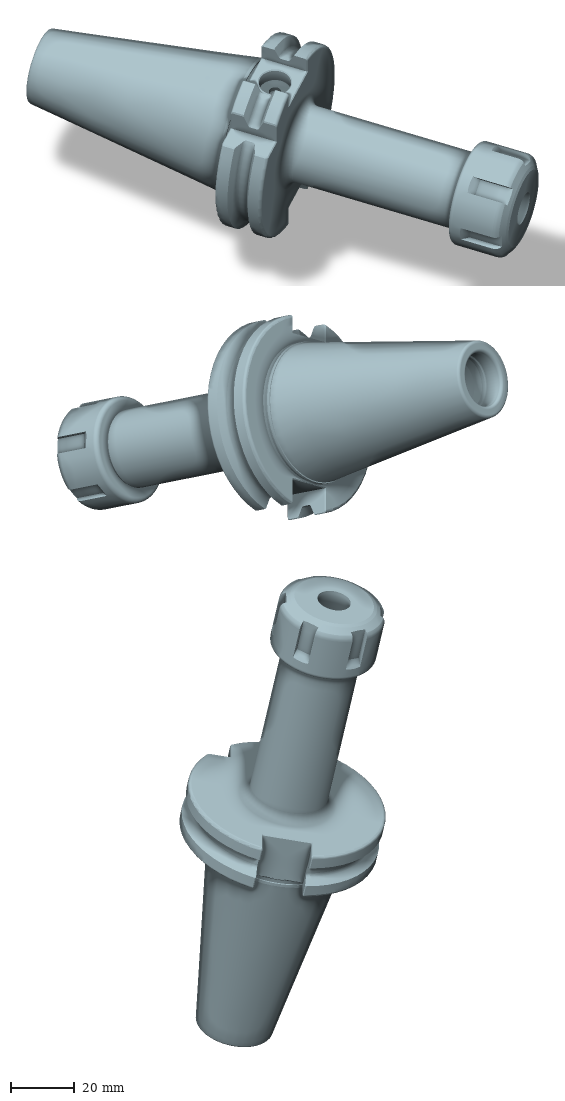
import cadquery as cq
import math


cutter_clearance = 1.6

taper_small_radius = 12.3
taper_large_radius = 22.3
taper_end_x = 69.0
taper_end_fillet = 1.0
collar_radius = 22.6
collar_end_x = 70.0
neck_radius = 22.1
neck_root_chamfer = 0.5

flange_start_x = 71.7
flange_width = 15.7
flange_end_x = flange_start_x + flange_width
flange_mid_x = flange_start_x + flange_width / 2
flange_diameter = 63.3
flange_radius = flange_diameter / 2
flange_rim_fillet = 1.0
groove_floor_radius = 28.1
groove_mouth_width = 6.9
groove_floor_width = 3.3
groove_floor_fillet = 1.0

slot_width = 15.7
top_slot_floor_z = 24.7
bottom_slot_floor_z = -22.6
notch_wall_y = -18.2
notch_floor_z = 18.5
slot_edge_chamfer = 0.3

chip_pocket_radius = 5.0
chip_pocket_depth = 4.6
chip_pocket_chamfer = 0.3
pilot_drill_radius = 2.0
pilot_drill_depth = 1.6
drill_point_angle = 118

shank_diameter = 25.0
shank_radius = shank_diameter / 2
shank_end_x = 143.7
shank_root_fillet = 3.0
nose_radius = 12.0
nose_end_x = 159.7

pilot_bore_radius = 8.7
pilot_entry_round = 1.0
pilot_bore_end_x = 6.0
relief_radius = 8.2
relief_start_x = 6.4
relief_end_x = 7.7
first_cone_end_radius = 7.2
first_cone_end_x = 10.0
second_cone_end_x = 11.6
through_bore_diameter = 10.6
through_bore_radius = through_bore_diameter / 2

nut_start_x = 144.7
nut_end_x = 163.6
nut_radius = 17.0
nut_back_fillet = 1.5
nut_shoulder_x = 159.7
nut_shoulder_arc_radius = 3.0
nut_cone_start_x = 161.7
nut_cone_end_x = 163.1
nut_cone_end_radius = 13.9
nut_front_face_radius = 12.8

wrench_slot_count = 6
wrench_slot_width = 5.4
wrench_slot_floor_radius = 15.0
wrench_slot_start_x = 148.9
wrench_slot_ramp_length = 2.5
wrench_slot_first_angle = -2
short_slot_index = 2
short_slot_offset = 1.5


def revolve_about_x(profile):
    """Turn a closed XZ profile (x along the axis, z as radius) into a solid of revolution."""
    return profile.close().revolve(360, (0, 0, 0), (1, 0, 0))


def body_of_holder():
    """Turned taper, collar, neck, shank and nose, without the flange and bore."""
    return revolve_about_x(
        cq.Workplane("XZ")
        .moveTo(0, 0)
        .lineTo(0, taper_small_radius)
        .lineTo(taper_end_x, taper_large_radius)
        .lineTo(taper_end_x, collar_radius)
        .lineTo(collar_end_x, collar_radius)
        .lineTo(collar_end_x, neck_radius)
        .lineTo(flange_start_x - neck_root_chamfer, neck_radius)
        .lineTo(flange_start_x, neck_radius + neck_root_chamfer)
        .lineTo(flange_end_x, neck_radius)
        .lineTo(flange_end_x, shank_radius + shank_root_fillet)
        .radiusArc((flange_end_x + shank_root_fillet, shank_radius), -shank_root_fillet)
        .lineTo(shank_end_x, shank_radius)
        .lineTo(nut_start_x, nose_radius)
        .lineTo(nose_end_x, nose_radius)
        .lineTo(nose_end_x, 0)
    ).faces("<X").edges().fillet(taper_end_fillet)


def flange_disc():
    """Round flange with filleted rims and the V-shaped gripper groove."""
    disc = (
        cq.Workplane("YZ", origin=(flange_start_x, 0, 0))
        .circle(flange_radius)
        .extrude(flange_width)
        .edges()
        .fillet(flange_rim_fillet)
    )
    groove = revolve_about_x(
        cq.Workplane("XZ")
        .moveTo(flange_mid_x - groove_mouth_width / 2, flange_radius)
        .lineTo(flange_mid_x - groove_floor_width / 2, groove_floor_radius)
        .lineTo(flange_mid_x + groove_floor_width / 2, groove_floor_radius)
        .lineTo(flange_mid_x + groove_mouth_width / 2, flange_radius)
    )
    groove = groove.edges(cq.selectors.RadiusNthSelector(0)).fillet(groove_floor_fillet)
    return disc.cut(groove)


def flange_slot(y_min, y_max, z_min, z_max):
    """A square-cornered cutter through the whole flange width."""
    return (
        cq.Workplane("YZ", origin=(flange_start_x, 0, 0))
        .moveTo(y_min, z_min)
        .lineTo(y_max, z_min)
        .lineTo(y_max, z_max)
        .lineTo(y_min, z_max)
        .close()
        .extrude(flange_width)
    )


def slotted_flange():
    """Flange disc with both drive slots and the notch, their straight outer edges chamfered."""
    half_slot = slot_width / 2
    beyond_rim = flange_radius + cutter_clearance
    disc = (
        flange_disc()
        .cut(flange_slot(-half_slot, half_slot, top_slot_floor_z, beyond_rim))
        .cut(flange_slot(-half_slot, half_slot, -beyond_rim, bottom_slot_floor_z))
        .cut(flange_slot(-beyond_rim, notch_wall_y, notch_floor_z, beyond_rim))
    )
    return disc.faces("<X or >X").edges("%LINE").chamfer(slot_edge_chamfer)


def chip_pocket():
    """Round pocket with a small pointed drill hole in its floor."""
    pocket_floor_z = top_slot_floor_z - chip_pocket_depth
    drill_end_z = pocket_floor_z - pilot_drill_depth
    point_length = pilot_drill_radius / math.tan(math.radians(drill_point_angle / 2))
    return (
        cq.Workplane("XZ", origin=(flange_mid_x, 0, 0))
        .moveTo(0, top_slot_floor_z)
        .lineTo(chip_pocket_radius + chip_pocket_chamfer, top_slot_floor_z)
        .lineTo(chip_pocket_radius, top_slot_floor_z - chip_pocket_chamfer)
        .lineTo(chip_pocket_radius, pocket_floor_z)
        .lineTo(pilot_drill_radius, pocket_floor_z)
        .lineTo(pilot_drill_radius, drill_end_z)
        .lineTo(0, drill_end_z - point_length)
        .close()
        .revolve(360, (0, 0, 0), (0, 1, 0))
    )


def holder_bore():
    """Rounded entry, pilot bore, relief and two cones narrowing to the through bore."""
    return revolve_about_x(
        cq.Workplane("XZ")
        .moveTo(0, 0)
        .lineTo(0, pilot_bore_radius + pilot_entry_round)
        .radiusArc((pilot_entry_round, pilot_bore_radius), -pilot_entry_round)
        .lineTo(pilot_bore_end_x, pilot_bore_radius)
        .lineTo(relief_start_x, relief_radius)
        .lineTo(relief_end_x, relief_radius)
        .lineTo(first_cone_end_x, first_cone_end_radius)
        .lineTo(second_cone_end_x, through_bore_radius)
        .lineTo(nose_end_x, through_bore_radius)
        .lineTo(nose_end_x, 0)
    )


def build_holder():
    """Tool holder in one piece: turned body, slotted flange, chip pocket and bore."""
    return body_of_holder().union(slotted_flange()).cut(chip_pocket()).cut(holder_bore())


def nut_blank():
    """Turned nut: rounded back edge, rounded shoulder running into the front cone."""
    arc_length_x = nut_cone_start_x - nut_shoulder_x
    arc_centre_radius = nut_radius - nut_shoulder_arc_radius
    cone_start_radius = arc_centre_radius + math.sqrt(nut_shoulder_arc_radius**2 - arc_length_x**2)
    return revolve_about_x(
        cq.Workplane("XZ")
        .moveTo(nut_start_x, nose_radius)
        .lineTo(nut_start_x, nut_radius - nut_back_fillet)
        .radiusArc((nut_start_x + nut_back_fillet, nut_radius), nut_back_fillet)
        .lineTo(nut_shoulder_x, nut_radius)
        .radiusArc((nut_cone_start_x, cone_start_radius), nut_shoulder_arc_radius)
        .lineTo(nut_cone_end_x, nut_cone_end_radius)
        .lineTo(nut_end_x, nut_front_face_radius)
        .lineTo(nut_end_x, through_bore_radius)
        .lineTo(nose_end_x, through_bore_radius)
        .lineTo(nose_end_x, nose_radius)
    )


def wrench_slot(start_x, angle):
    """Flat-floored slot on the -Y side with a ramped start, turned about X by the angle."""
    ramp_slope = (nut_radius - wrench_slot_floor_radius) / wrench_slot_ramp_length
    outer_radius = nut_radius + cutter_clearance
    ramp_top_x = start_x - cutter_clearance / ramp_slope
    return (
        cq.Workplane("XY")
        .moveTo(ramp_top_x, -outer_radius)
        .lineTo(start_x + wrench_slot_ramp_length, -wrench_slot_floor_radius)
        .lineTo(nut_end_x, -wrench_slot_floor_radius)
        .lineTo(nut_end_x, -outer_radius)
        .close()
        .extrude(wrench_slot_width / 2, both=True)
        .rotate((0, 0, 0), (1, 0, 0), angle)
    )


def build_nut():
    """Nut blank with its ring of evenly spaced wrench slots."""
    nut = nut_blank()
    for index in range(wrench_slot_count):
        angle = -(wrench_slot_first_angle + index * 360 / wrench_slot_count)
        start_x = wrench_slot_start_x
        if index == short_slot_index:
            start_x += short_slot_offset
        nut = nut.cut(wrench_slot(start_x, angle))
    return nut


holder = build_holder()
nut = build_nut()
result = cq.Compound.makeCompound([holder.val(), nut.val()])